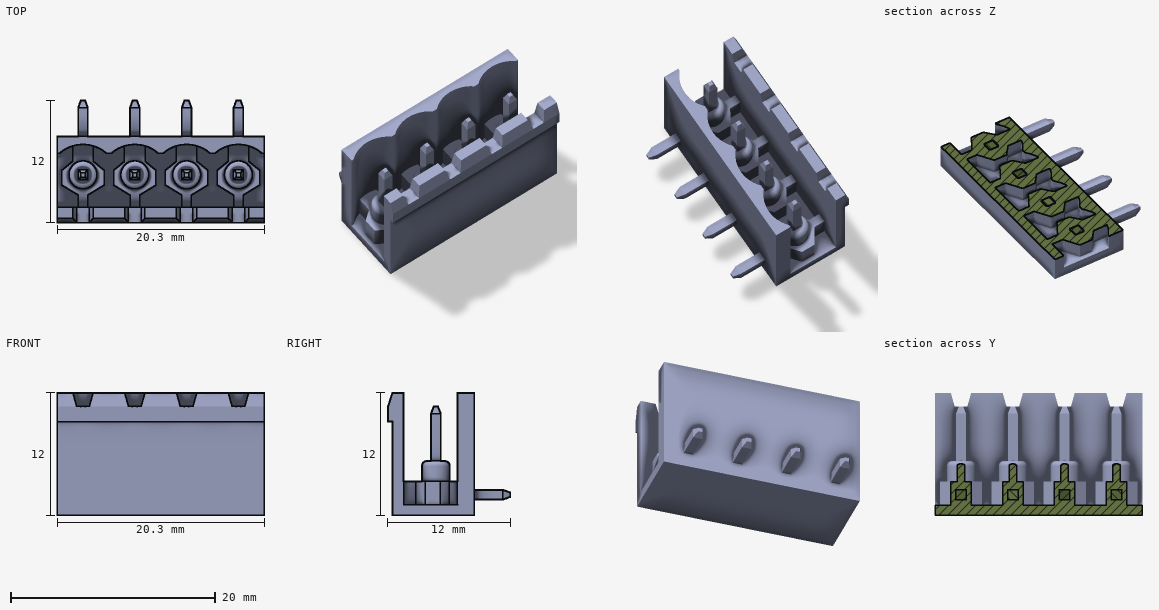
import cadquery as cq
import math


pin_count = 4
housing_length = 20.32
pitch = housing_length / pin_count
pin_positions = [(i - (pin_count - 1) / 2) * pitch for i in range(pin_count)]

housing_height = 12.0
rear_y = 3.78
rear_wall = 1.67
front_wall = 1.1
channel_width = 5.28
floor_thickness = 1.02
channel_rear_y = rear_y - rear_wall
channel_front_y = channel_rear_y - channel_width
front_y = channel_front_y - front_wall

lip_projection = 0.43
lip_bottom_z = 9.18
lip_bevel_height = 1.35
lip_bevel_z = housing_height - lip_bevel_height
lip_y = front_y - lip_projection

notch_top_width = 2.0
notch_bottom_width = 1.24

scallop_land = 0.49
scallop_depth = 0.87
scallop_half_chord = (pitch - scallop_land) / 2

pedestal_top_z = 3.33
pedestal_half_width = 2.07
rear_stem_half_width = 1.02
front_stem_half_width = 0.47
rear_shoulder_y = 1.32
rear_corner_y = 0.45
front_corner_y = -1.02
front_shoulder_y = -2.0

collar_diameter = 2.75
collar_top_z = 5.32
collar_fillet = 0.49

pin_width = 0.98
pin_top_z = 10.67
pin_tip_length = 0.71
tail_axis_z = 2.01
tail_length = 3.54
tail_tip_length = 0.75
tip_width = 0.43
tail_end_y = rear_y + tail_length
pin_bottom_z = tail_axis_z - pin_width / 2


def make_channel():
    """U-shaped channel with the latching lip, extruded along the row."""
    profile = [
        (rear_y, 0),
        (rear_y, housing_height),
        (channel_rear_y, housing_height),
        (channel_rear_y, floor_thickness),
        (channel_front_y, floor_thickness),
        (channel_front_y, housing_height),
        (front_y, housing_height),
        (lip_y, lip_bevel_z),
        (lip_y, lip_bottom_z),
        (front_y, lip_bottom_z),
        (front_y, 0),
    ]
    return cq.Workplane("YZ").polyline(profile).close().extrude(housing_length / 2, both=True)


def make_scallop(x):
    """Upright cylindrical segment that hollows the rear wall behind one pin."""
    chord_left = (-scallop_half_chord, channel_rear_y)
    chord_right = (scallop_half_chord, channel_rear_y)
    return (
        cq.Workplane("XY", origin=(x, 0, floor_thickness))
        .moveTo(*chord_left)
        .threePointArc((0, channel_rear_y + scallop_depth), chord_right)
        .close()
        .extrude(housing_height - floor_thickness)
    )


def make_notch(x):
    """Trapezoidal prism through the front wall and lip."""
    return (
        cq.Workplane("XZ", origin=(x, channel_front_y, 0))
        .moveTo(-notch_top_width / 2, housing_height)
        .lineTo(notch_top_width / 2, housing_height)
        .lineTo(notch_bottom_width / 2, lip_bevel_z)
        .lineTo(-notch_bottom_width / 2, lip_bevel_z)
        .close()
        .extrude(channel_front_y - lip_y)
    )


def make_pedestal(x):
    """Hexagonal block with a wide stem to the rear wall and a narrow one to the front wall."""
    right_side = [
        (front_stem_half_width, channel_front_y),
        (front_stem_half_width, front_shoulder_y),
        (pedestal_half_width, front_corner_y),
        (pedestal_half_width, rear_corner_y),
        (rear_stem_half_width, rear_shoulder_y),
        (rear_stem_half_width, rear_y),
    ]
    left_side = [(-px, py) for px, py in reversed(right_side)]
    return (
        cq.Workplane("XY", origin=(x, 0, floor_thickness))
        .polyline(right_side + left_side)
        .close()
        .extrude(pedestal_top_z - floor_thickness)
    )


def make_collar(x):
    """Round collar with a rounded top edge."""
    return (
        cq.Workplane("XY", origin=(x, 0, pedestal_top_z))
        .circle(collar_diameter / 2)
        .extrude(collar_top_z - pedestal_top_z)
        .faces(">Z")
        .edges()
        .fillet(collar_fillet)
    )


def add_tip(bar, end_face, tip_length):
    """Add a square tapered tip to one end face of a square bar."""
    taper = math.degrees(math.atan((pin_width - tip_width) / 2 / tip_length))
    return (
        bar.faces(end_face)
        .workplane(centerOption="CenterOfMass")
        .rect(pin_width, pin_width)
        .extrude(tip_length, taper=taper)
    )


def make_pin(x):
    """L-shaped square pin: upright contact and a tail leaving through the rear wall."""
    upright_height = pin_top_z - pin_tip_length - pin_bottom_z
    upright = (
        cq.Workplane("XY", origin=(x, 0, pin_bottom_z))
        .rect(pin_width, pin_width)
        .extrude(upright_height)
    )
    tail_start_y = -pin_width / 2
    tail_bar_length = tail_end_y - tail_tip_length - tail_start_y
    tail = (
        cq.Workplane("XZ", origin=(x, tail_start_y, tail_axis_z))
        .rect(pin_width, pin_width)
        .extrude(-tail_bar_length)
    )
    return add_tip(upright, ">Z", pin_tip_length).union(add_tip(tail, ">Y", tail_tip_length))


def make_housing(pins):
    """Channel with scallops, notches, pedestals and collars, and a fitting hole for each pin."""
    housing = make_channel()
    for x in pin_positions:
        housing = housing.cut(make_scallop(x)).cut(make_notch(x))
        housing = housing.union(make_pedestal(x)).union(make_collar(x))
    for pin in pins:
        housing = housing.cut(pin)
    return housing


pins = [make_pin(x) for x in pin_positions]
housing = make_housing(pins)

result = cq.Compound.makeCompound([housing.val(), *[pin.val() for pin in pins]])